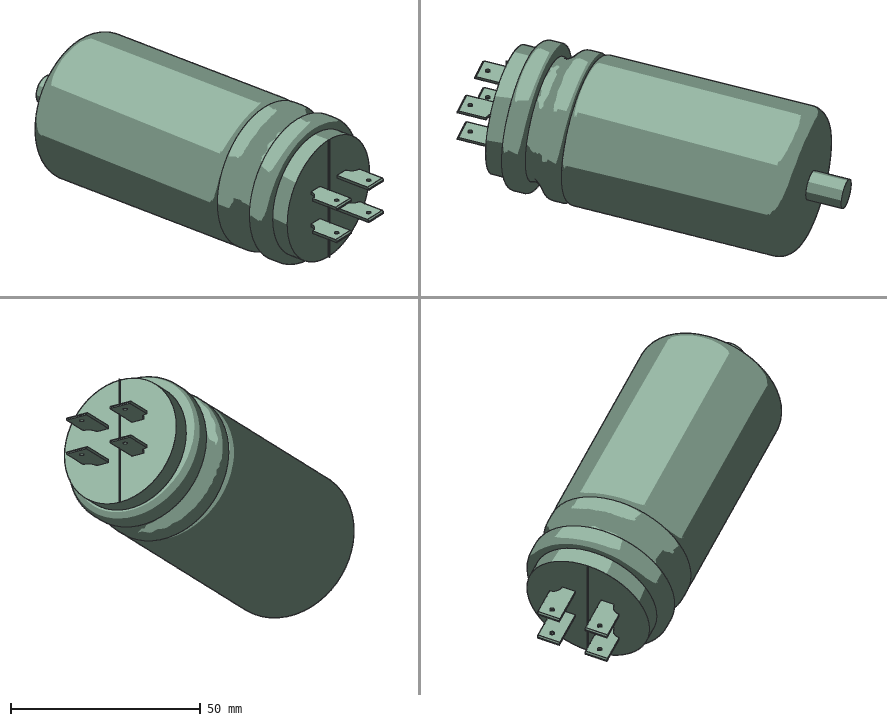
import cadquery as cq
import math

overall_length = 105.5
can_diameter = 41.0
can_radius = can_diameter / 2

stud_radius = 4.0
base_x = 9.9
base_round = 5.1

narrow_groove_x = 73.1
wall_end_round = 1.9
bead_round = 1.1

roll_start_x = 76.7
roll_bottom_x = 82.5
roll_depth = 3.7
roll_end_x = 83.9
roll_end_rise = 0.3
roll_end_slope = 0.5

rim_end_x = 90.0
rim_end_round = 2.2
cap_diameter = 35.3
cap_radius = cap_diameter / 2
cap_end_x = 94.8

rib_height = 0.5
rib_thickness = 0.2

terminal_width = 6.3
terminal_thickness = 0.8
terminal_pair_spacing = 13.7
terminal_y = terminal_pair_spacing / 2
terminal_row_spacing = 9.8
terminal_z = terminal_row_spacing / 2
terminal_root_radius = 2.5
terminal_embed = 1.1
terminal_hole_diameter = 1.2
terminal_hole_from_tip = 2.5
terminal_tip_bevel = 0.4


def climb_to_can(profile, wall_x, radius):
    """Rise along a radial wall and round over onto the can surface."""
    center_x = wall_x + radius
    center_r = can_radius - radius
    diagonal = radius * math.sqrt(0.5)
    return profile.lineTo(wall_x, center_r).threePointArc(
        (center_x - diagonal, center_r + diagonal), (center_x, can_radius)
    )


def drop_from_can(profile, wall_x, radius):
    """Follow the can surface and round over into a radial wall."""
    center_x = wall_x - radius
    center_r = can_radius - radius
    diagonal = radius * math.sqrt(0.5)
    return profile.lineTo(center_x, can_radius).threePointArc(
        (center_x + diagonal, center_r + diagonal), (wall_x, center_r)
    )


def roll_groove(profile):
    """S-shaped flank, level where it leaves the can surface, ending at the rim wall."""
    middle = ((roll_start_x + roll_bottom_x) / 2, can_radius - roll_depth / 2)
    floor = (roll_bottom_x, can_radius - roll_depth)
    end = (roll_end_x, can_radius - roll_depth + roll_end_rise)
    return profile.lineTo(roll_start_x, can_radius).spline(
        [middle, floor, end],
        tangents=[(1, 0), (1, roll_end_slope)],
        includeCurrent=True,
    )


def make_can():
    """Stud, can, beads, grooves and cap as one revolved profile."""
    profile = cq.Workplane("XZ").lineTo(0, stud_radius).lineTo(base_x, stud_radius)
    profile = climb_to_can(profile, base_x, base_round)
    profile = drop_from_can(profile, narrow_groove_x, wall_end_round)
    profile = climb_to_can(profile, narrow_groove_x, bead_round)
    profile = roll_groove(profile)
    profile = climb_to_can(profile, roll_end_x, bead_round)
    profile = drop_from_can(profile, rim_end_x, rim_end_round)
    profile = (
        profile.lineTo(rim_end_x, cap_radius)
        .lineTo(cap_end_x, cap_radius)
        .lineTo(cap_end_x, 0)
        .close()
    )
    return profile.revolve(360, (0, 0, 0), (1, 0, 0))


def make_rib():
    """Full-diameter rib standing upright on the cap face and sunk slightly into the cap."""
    rib = cq.Workplane("XY").box(
        2 * rib_height, rib_thickness, cap_diameter, centered=(False, True, True)
    )
    within_cap = cq.Workplane("YZ").circle(cap_radius).extrude(2 * rib_height)
    return rib.intersect(within_cap).translate((cap_end_x - rib_height, 0, 0))


def make_terminal():
    """Terminal on the +Y side, lying flat about Z = 0, with its outer root corner scooped out."""
    start_x = cap_end_x - terminal_embed
    outer_y = terminal_y + terminal_width / 2
    blade = cq.Workplane("XY").box(
        overall_length - start_x, terminal_width, terminal_thickness, centered=(False, True, True)
    )
    blade = blade.faces(">X").edges(">Z").chamfer(terminal_tip_bevel)
    blade = blade.translate((start_x, terminal_y, 0))
    scoop = (
        cq.Workplane("XY")
        .center(cap_end_x, outer_y)
        .circle(terminal_root_radius)
        .extrude(terminal_thickness, both=True)
    )
    hole = (
        cq.Workplane("XY")
        .center(overall_length - terminal_hole_from_tip, terminal_y)
        .circle(terminal_hole_diameter / 2)
        .extrude(terminal_thickness, both=True)
    )
    return blade.cut(scoop).cut(hole)


result = make_can().union(make_rib())
terminal = make_terminal()
for side_terminal in (terminal, terminal.mirror("XZ")):
    for height in (-terminal_z, terminal_z):
        result = result.union(side_terminal.translate((0, 0, height)))